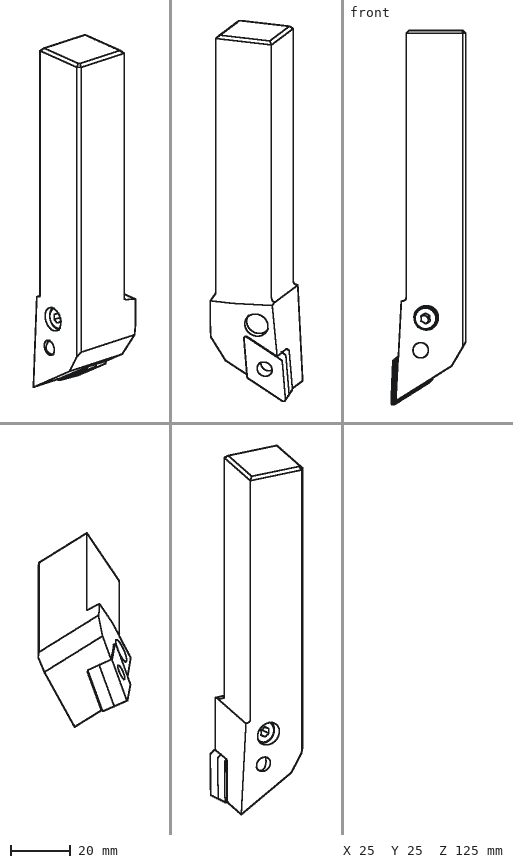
import cadquery as cq
import math


TOOL_LENGTH = 125.0
SHANK_SIDE = 20.0
CHAMFER = 1.0

HEAD_BACK_Y = 25.0
SHOULDER_Z = 35.0
SHOULDER_FILLET = 1.0
SHOULDER_OVERHANG = 1.6
SHOULDER_SLOPE = 13.0
LEFT_EDGE_LEAN = 3.0
NOSE_EDGE_ANGLE = 32.0
HEAD_TIP_Z = 1.4
HEEL_X = 15.2
HEEL_TOP_Z = 21.1

SIDE_RAKE = 6.5
BACK_RAKE = 6.0
INSERT_STAND_UP = 0.44

INSERT_EDGE = 15.5
INSERT_CORNER = 0.8
INSERT_THICKNESS = 4.8
INSERT_HOLE = 5.1
SHIM_THICKNESS = 4.8
SHIM_CHAMFER = 0.44
INSERT_LEFT_X = -5.0
INSERT_BOTTOM_Z = 0.0
NOSE_Y = 19.9

SCREW_X = 6.8
SCREW_Z = 29.1
SCREW_BORE = 8.0
SCREW_HEAD_DEPTH = 2.2
SCREW_END_DEPTH = 21.2
SCREW_CHAMFER = 0.5
SOCKET_FLATS = 3.0
SOCKET_DEPTH = 5.0
SOCKET_POINT = 0.9

ACCESS_X = 4.9
ACCESS_Z = 18.2
ACCESS_DIAMETER = 5.1
ACCESS_DEPTH = 2.2
ACCESS_FLOOR_TILT = 35.0

CUTTER_SIZE = 75.0


def tan(degrees):
    return math.tan(math.radians(degrees))


def polar(length, degrees):
    angle = math.radians(degrees)
    return length * math.cos(angle), length * math.sin(angle)


def rake_plane(origin):
    """Plane parallel to the rake face, with its normal pointing forward into the holder."""
    normal = cq.Vector(tan(SIDE_RAKE), -1, tan(BACK_RAKE))
    along_x = cq.Vector(1, tan(SIDE_RAKE), 0)
    return cq.Plane(origin=origin, xDir=along_x, normal=normal)


def nose_point():
    """Sharp corner of the insert's upper face, found from the centre of its rounded nose."""
    left_edge_angle = 90 - LEFT_EDGE_LEAN
    half_angle = (left_edge_angle - NOSE_EDGE_ANGLE) / 2
    corner_reach = INSERT_CORNER / math.sin(math.radians(half_angle))
    to_centre = polar(corner_reach, NOSE_EDGE_ANGLE + half_angle)
    return (
        INSERT_LEFT_X + INSERT_CORNER - to_centre[0],
        NOSE_Y,
        INSERT_BOTTOM_Z + INSERT_CORNER - to_centre[1],
    )


INSERT_PLANE = rake_plane(nose_point())
SCREW_PLANE = rake_plane((SCREW_X, 0, SCREW_Z))


def make_rhombus(depth, thickness):
    """Insert-shaped plate whose upper face lies at the given depth below the insert's top."""
    lower = polar(INSERT_EDGE, NOSE_EDGE_ANGLE)
    left = polar(INSERT_EDGE, 90 - LEFT_EDGE_LEAN)
    rear = (lower[0] + left[0], lower[1] + left[1])
    plate = (
        cq.Workplane(INSERT_PLANE)
        .workplane(offset=depth)
        .polyline([(0, 0), lower, rear, left])
        .close()
        .extrude(thickness)
    )
    return plate.edges(cq.selectors.ParallelDirSelector(INSERT_PLANE.zDir)).fillet(INSERT_CORNER)


def make_insert():
    lower = polar(INSERT_EDGE, NOSE_EDGE_ANGLE)
    left = polar(INSERT_EDGE, 90 - LEFT_EDGE_LEAN)
    centre = ((lower[0] + left[0]) / 2, (lower[1] + left[1]) / 2)
    hole = cq.Workplane(INSERT_PLANE).center(*centre).circle(INSERT_HOLE / 2).extrude(INSERT_THICKNESS)
    return make_rhombus(0, INSERT_THICKNESS).cut(hole)


def make_shim():
    shim = make_rhombus(INSERT_THICKNESS, SHIM_THICKNESS)
    underside = cq.selectors.DirectionMinMaxSelector(INSERT_PLANE.zDir, True)
    return shim.faces(underside).chamfer(SHIM_CHAMFER)


def make_blank():
    """Shank and head: the front outline and the side outline intersected."""
    shoulder_left_z = SHOULDER_Z - SHOULDER_OVERHANG * tan(SHOULDER_SLOPE)
    tip_x = -SHOULDER_OVERHANG - (shoulder_left_z - HEAD_TIP_Z) * tan(LEFT_EDGE_LEAN)
    heel_z = HEAD_TIP_Z + (HEEL_X - tip_x) * tan(NOSE_EDGE_ANGLE)
    front = (
        cq.Workplane("XZ")
        .polyline([
            (0, TOOL_LENGTH),
            (0, SHOULDER_Z),
            (-SHOULDER_OVERHANG, shoulder_left_z),
            (tip_x, HEAD_TIP_Z),
            (HEEL_X, heel_z),
            (SHANK_SIDE, HEEL_TOP_Z),
            (SHANK_SIDE, TOOL_LENGTH),
        ])
        .close()
        .extrude(-HEAD_BACK_Y)
        .edges(cq.selectors.NearestToPointSelector((0, HEAD_BACK_Y / 2, SHOULDER_Z)))
        .fillet(SHOULDER_FILLET)
    )
    shoulder_back_z = SHOULDER_Z - (HEAD_BACK_Y - SHANK_SIDE) * tan(SHOULDER_SLOPE)
    side = (
        cq.Workplane("YZ")
        .polyline([
            (0, 0),
            (HEAD_BACK_Y, 0),
            (HEAD_BACK_Y, shoulder_back_z),
            (SHANK_SIDE, SHOULDER_Z),
            (SHANK_SIDE, TOOL_LENGTH),
            (0, TOOL_LENGTH),
        ])
        .close()
        .extrude(SHANK_SIDE, both=True)
        .edges(cq.selectors.NearestToPointSelector((0, SHANK_SIDE, SHOULDER_Z)))
        .fillet(SHOULDER_FILLET)
    )
    long_edge = cq.selectors.NearestToPointSelector((SHANK_SIDE, 0, TOOL_LENGTH / 2))
    blank = front.intersect(side).edges(long_edge).chamfer(CHAMFER)
    return blank.faces(">Z").chamfer(CHAMFER)


def make_rake_cut():
    """Everything behind the rake face."""
    return (
        cq.Workplane(INSERT_PLANE)
        .workplane(offset=INSERT_STAND_UP)
        .rect(CUTTER_SIZE, CUTTER_SIZE)
        .extrude(-HEAD_BACK_Y)
    )


def make_screw_cut():
    """Bore through the head, leaving the screw with its chamfered head and hexagon socket."""
    bore = cq.Workplane(SCREW_PLANE).circle(SCREW_BORE / 2).extrude(CUTTER_SIZE, both=True)
    screw_length = SCREW_END_DEPTH - SCREW_HEAD_DEPTH
    head_edge = cq.selectors.DirectionMinMaxSelector(SCREW_PLANE.zDir, True)
    screw = (
        cq.Workplane(SCREW_PLANE)
        .workplane(offset=-SCREW_END_DEPTH)
        .circle(SCREW_BORE / 2)
        .extrude(screw_length)
        .faces(head_edge)
        .chamfer(SCREW_CHAMFER)
    )
    socket = (
        cq.Workplane(SCREW_PLANE)
        .workplane(offset=-SCREW_HEAD_DEPTH)
        .polygon(6, SOCKET_FLATS, circumscribed=True)
        .extrude(-SOCKET_DEPTH)
    )
    socket_end = SCREW_PLANE.zDir * -(SCREW_HEAD_DEPTH + SOCKET_DEPTH)
    point = cq.Workplane(cq.Solid.makeCone(
        SOCKET_FLATS / 2, 0, SOCKET_POINT, pnt=SCREW_PLANE.origin + socket_end, dir=-SCREW_PLANE.zDir
    ))
    return bore.cut(screw).union(socket).union(point)


def make_access_cut():
    hole = (
        cq.Workplane("XZ")
        .center(ACCESS_X, ACCESS_Z)
        .circle(ACCESS_DIAMETER / 2)
        .extrude(-HEAD_BACK_Y)
    )
    floor = (
        cq.Workplane("XY")
        .box(CUTTER_SIZE, CUTTER_SIZE, CUTTER_SIZE, centered=(True, False, True))
        .rotate((0, 0, 0), (1, 0, -1), -ACCESS_FLOOR_TILT)
        .translate((ACCESS_X, ACCESS_DEPTH, ACCESS_Z))
    )
    return hole.cut(floor)


def make_holder():
    pocket = make_rhombus(-INSERT_STAND_UP, INSERT_STAND_UP + INSERT_THICKNESS)
    holder = make_blank().cut(make_rake_cut()).cut(make_screw_cut()).cut(make_access_cut())
    return holder.cut(pocket).union(make_shim())


insert = make_insert()
holder = make_holder()

result = cq.Compound.makeCompound([holder.val(), insert.val()])